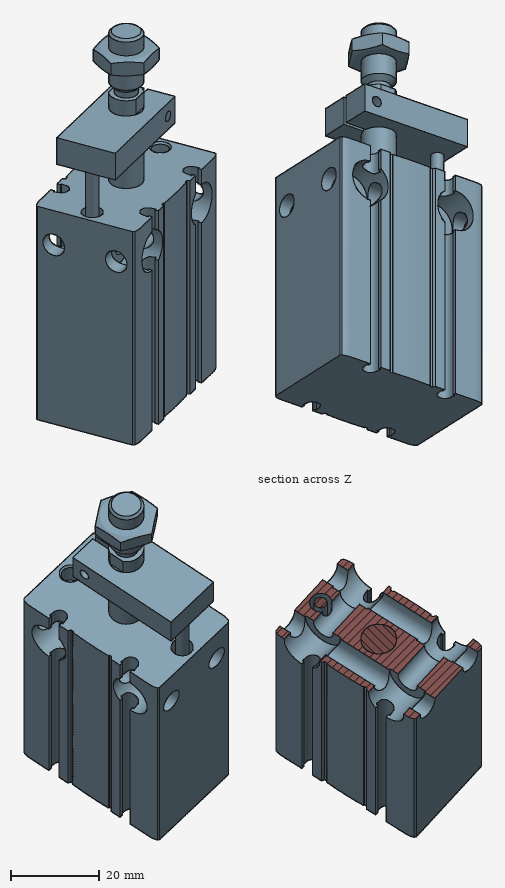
import cadquery as cq
import math


HOUSING_X = 26.0
HOUSING_Y = 40.0
HOUSING_TOP = 56.0
HALF_X = HOUSING_X / 2
HALF_Y = HOUSING_Y / 2

CORNER_ARC_LENGTH = 2.0
CORNER_ARC_DROP = 0.4
CORNER_FLAT_X = 0.4
CORNER_FLAT_Y = 0.3

PANEL_HALF_WIDTH = 5.3
PANEL_DROP = 0.25
PANEL_CROWN = 0.15
PANEL_GROOVE_DROP = 0.65
PANEL_GROOVE_WIDTH = 0.7
PANEL_GROOVE_SLOPE = 0.35

SLOT_OFFSET_Y = 10.5
SLOT_MOUTH = 3.0
SLOT_DIAMETER = 3.6
SLOT_WIDTH_AT_LIP = 3.9
SLOT_DEPTH = 3.75
SLOT_LIP = 0.9

MOUNT_DIAMETER = 5.5
MOUNT_Z = HOUSING_TOP - 9.0
SIDE_MOUNT_Y = 12.0
FRONT_MOUNT_X = 8.0
COUNTERBORE_DIAMETER = 10.0
COUNTERBORE_DEPTH = 8.0

TOP_HOLE_Y = 16.5
PORT_RIM_DIAMETER = 5.0
PORT_DIAMETER = 4.13
PORT_DEPTH = 5.0
PIN_HOLE_DIAMETER = 5.0
DRILL_POINT_ANGLE = 118.0

ROD_DIAMETER = 8.0
ROD_INSERTION = 20.0
ROD_END = HOUSING_TOP - ROD_INSERTION
COLLAR_TOP = 79.0
COLLAR_FLATS = 7.0
NECK_DIAMETER = 5.5
NECK_TOP = 80.5
THREAD_START = NECK_TOP + (ROD_DIAMETER - NECK_DIAMETER) / 2
ROD_TOP = 95.0
ROD_CHAMFER = 0.6

PLATE_X = 15.0
PLATE_REAR_Y = 9.5
PLATE_FRONT_Y = -19.5
PLATE_BOTTOM = 68.0
PLATE_TOP = 75.0
CLAMP_SLIT = 0.9

SCREW_DIAMETER = 2.5
SCREW_Y = 6.1
SCREW_Z = (PLATE_BOTTOM + PLATE_TOP) / 2
SCREW_RECESS = 3.0

PIN_DIAMETER = 3.0

NUT_FLATS = 13.0
NUT_BOTTOM = 86.8
NUT_TOP = 90.8
NUT_FACE_DIAMETER = 11.8
NUT_CORNER_DROP = 0.5


def cylinder_x(diameter, x_start, x_end, y, z):
    disc = cq.Workplane("YZ", origin=(x_start, y, z)).circle(diameter / 2)
    return disc.extrude(x_end - x_start)


def cylinder_z(diameter, z_start, z_end, y=0.0):
    disc = cq.Workplane("XY", origin=(0, y, z_start)).circle(diameter / 2)
    return disc.extrude(z_end - z_start)


def corner_cutter():
    """Waste at the +X, +Y corner of the housing outline."""
    arc_start = (HALF_X, HALF_Y - CORNER_FLAT_Y - CORNER_ARC_LENGTH)
    arc_middle = (HALF_X - CORNER_ARC_DROP / 4, arc_start[1] + CORNER_ARC_LENGTH / 2)
    arc_end = (HALF_X - CORNER_ARC_DROP, HALF_Y - CORNER_FLAT_Y)
    outline = cq.Workplane("XY").moveTo(*arc_start).threePointArc(arc_middle, arc_end)
    outline = outline.lineTo(arc_end[0] - CORNER_FLAT_X, HALF_Y).lineTo(HALF_X, HALF_Y)
    return outline.close().extrude(HOUSING_TOP)


def panel_cutter():
    """Waste over the crowned middle panel and edge grooves of the +X side face."""
    groove_x = HALF_X - PANEL_GROOVE_DROP
    groove_y = PANEL_HALF_WIDTH + PANEL_GROOVE_WIDTH
    outer_y = groove_y + PANEL_GROOVE_SLOPE
    edge_x = HALF_X - PANEL_DROP - PANEL_CROWN
    outline = cq.Workplane("XY").moveTo(HALF_X, -outer_y).lineTo(groove_x, -groove_y)
    outline = outline.lineTo(groove_x, -PANEL_HALF_WIDTH).lineTo(edge_x, -PANEL_HALF_WIDTH)
    outline = outline.threePointArc((HALF_X - PANEL_DROP, 0), (edge_x, PANEL_HALF_WIDTH))
    outline = outline.lineTo(groove_x, PANEL_HALF_WIDTH).lineTo(groove_x, groove_y)
    return outline.lineTo(HALF_X, outer_y).close().extrude(HOUSING_TOP)


def slot_cutter(y):
    """Round-bottomed sensor slot that widens slightly up to two lips in the +X side face."""
    radius = SLOT_DIAMETER / 2
    half_mouth = SLOT_MOUTH / 2
    half_lip_width = SLOT_WIDTH_AT_LIP / 2
    lip_x = HALF_X - SLOT_LIP
    bottom_x = HALF_X - SLOT_DEPTH
    centre_x = bottom_x + radius
    outline = cq.Workplane("XY").moveTo(HALF_X, y - half_mouth).lineTo(lip_x, y - half_mouth)
    outline = outline.lineTo(lip_x, y - half_lip_width).lineTo(centre_x, y - radius)
    outline = outline.threePointArc((bottom_x, y), (centre_x, y + radius))
    outline = outline.lineTo(lip_x, y + half_lip_width).lineTo(lip_x, y + half_mouth)
    return outline.lineTo(HALF_X, y + half_mouth).close().extrude(HOUSING_TOP)


def port_cutter():
    """Drilled port with a conical bottom and a chamfered rim."""
    radius = PORT_DIAMETER / 2
    floor_z = HOUSING_TOP - PORT_DEPTH
    tip_height = radius / math.tan(math.radians(DRILL_POINT_ANGLE / 2))
    tip = cq.Solid.makeCone(radius, 0, tip_height, cq.Vector(0, TOP_HOLE_Y, floor_z), cq.Vector(0, 0, -1))
    drill = cylinder_z(PORT_DIAMETER, floor_z, HOUSING_TOP, TOP_HOLE_Y).union(cq.Workplane(obj=tip))
    rim_radius = PORT_RIM_DIAMETER / 2
    rim_centre = cq.Vector(0, TOP_HOLE_Y, HOUSING_TOP)
    rim = cq.Solid.makeCone(rim_radius, radius, rim_radius - radius, rim_centre, cq.Vector(0, 0, -1))
    return drill.union(cq.Workplane(obj=rim))


def make_housing():
    block = cq.Workplane("XY").box(HOUSING_X, HOUSING_Y, HOUSING_TOP, centered=(True, True, False))

    corner = corner_cutter()
    right_cuts = [panel_cutter(), corner, corner.mirror("XZ")]
    for y in (-SLOT_OFFSET_Y, SLOT_OFFSET_Y):
        right_cuts.append(slot_cutter(y))
    for cut in right_cuts:
        block = block.cut(cut).cut(cut.mirror("YZ"))

    for y in (-SIDE_MOUNT_Y, SIDE_MOUNT_Y):
        block = block.cut(cylinder_x(MOUNT_DIAMETER, -HALF_X, HALF_X, y, MOUNT_Z))
        counterbore = cylinder_x(COUNTERBORE_DIAMETER, HALF_X - COUNTERBORE_DEPTH, HALF_X, y, MOUNT_Z)
        block = block.cut(counterbore).cut(counterbore.mirror("YZ"))

    for x in (-FRONT_MOUNT_X, FRONT_MOUNT_X):
        disc = cq.Workplane("XZ", origin=(x, HALF_Y, MOUNT_Z)).circle(MOUNT_DIAMETER / 2)
        block = block.cut(disc.extrude(HOUSING_Y))

    block = block.cut(cylinder_z(ROD_DIAMETER, ROD_END, HOUSING_TOP))
    block = block.cut(port_cutter())
    return block.cut(cylinder_z(PIN_HOLE_DIAMETER, ROD_END, HOUSING_TOP, -TOP_HOLE_Y))


def make_rod():
    rod = cylinder_z(ROD_DIAMETER, ROD_END, COLLAR_TOP)
    for side in (-1, 1):
        flat = cq.Workplane("XY").box(
            ROD_DIAMETER, ROD_DIAMETER, COLLAR_TOP - PLATE_TOP, centered=(True, True, False)
        )
        rod = rod.cut(flat.translate((side * (COLLAR_FLATS + ROD_DIAMETER) / 2, 0, PLATE_TOP)))

    neck_radius = NECK_DIAMETER / 2
    rod_radius = ROD_DIAMETER / 2
    end_profile = cq.Workplane("XZ").moveTo(0, COLLAR_TOP).lineTo(neck_radius, COLLAR_TOP)
    end_profile = end_profile.lineTo(neck_radius, NECK_TOP).lineTo(rod_radius, THREAD_START)
    end_profile = end_profile.lineTo(rod_radius, ROD_TOP - ROD_CHAMFER)
    end_profile = end_profile.lineTo(rod_radius - ROD_CHAMFER, ROD_TOP).lineTo(0, ROD_TOP).close()
    return rod.union(end_profile.revolve(360, (0, 0, 0), (0, 1, 0)))


def make_plate():
    length = PLATE_REAR_Y - PLATE_FRONT_Y
    height = PLATE_TOP - PLATE_BOTTOM
    plate = cq.Workplane("XY").box(PLATE_X, length, height, centered=(True, False, False))
    plate = plate.translate((0, PLATE_FRONT_Y, PLATE_BOTTOM))
    slit = cq.Workplane("XY").box(CLAMP_SLIT, PLATE_REAR_Y, height, centered=(True, False, False))
    plate = plate.cut(slit.translate((0, 0, PLATE_BOTTOM)))
    plate = plate.cut(cylinder_z(ROD_DIAMETER, PLATE_BOTTOM, PLATE_TOP))
    plate = plate.cut(cylinder_z(PIN_DIAMETER, PLATE_BOTTOM, SCREW_Z, -TOP_HOLE_Y))
    return plate.cut(cylinder_x(SCREW_DIAMETER, -PLATE_X / 2, PLATE_X / 2, SCREW_Y, SCREW_Z))


def make_clamp_screw():
    """Screw across the clamp slit; its tip stops short of the -X face of the plate."""
    return cylinder_x(SCREW_DIAMETER, SCREW_RECESS - PLATE_X / 2, PLATE_X / 2, SCREW_Y, SCREW_Z)


def make_guide_pin():
    """Pin from the middle of the plate thickness to the bottom of its hole in the housing."""
    return cylinder_z(PIN_DIAMETER, ROD_END, SCREW_Z, -TOP_HOLE_Y)


def make_nut():
    corner_radius = NUT_FLATS / math.sqrt(3)
    height = NUT_TOP - NUT_BOTTOM
    hexagon = cq.Workplane("XY", origin=(0, 0, NUT_BOTTOM)).polygon(6, 2 * corner_radius).extrude(height)
    hexagon = hexagon.rotate((0, 0, 0), (0, 0, 1), 90)

    face_radius = NUT_FACE_DIAMETER / 2
    envelope = cq.Workplane("XZ").moveTo(0, NUT_BOTTOM).lineTo(face_radius, NUT_BOTTOM)
    envelope = envelope.lineTo(corner_radius, NUT_BOTTOM + NUT_CORNER_DROP)
    envelope = envelope.lineTo(corner_radius, NUT_TOP - NUT_CORNER_DROP)
    envelope = envelope.lineTo(face_radius, NUT_TOP).lineTo(0, NUT_TOP).close()
    nut = hexagon.intersect(envelope.revolve(360, (0, 0, 0), (0, 1, 0)))
    return nut.cut(cylinder_z(ROD_DIAMETER, NUT_BOTTOM, NUT_TOP))


housing = make_housing()
rod = make_rod()
plate = make_plate()
clamp_screw = make_clamp_screw()
guide_pin = make_guide_pin()
nut = make_nut()

result = cq.Compound.makeCompound(
    [housing.val(), rod.val(), plate.val(), clamp_screw.val(), guide_pin.val(), nut.val()]
)